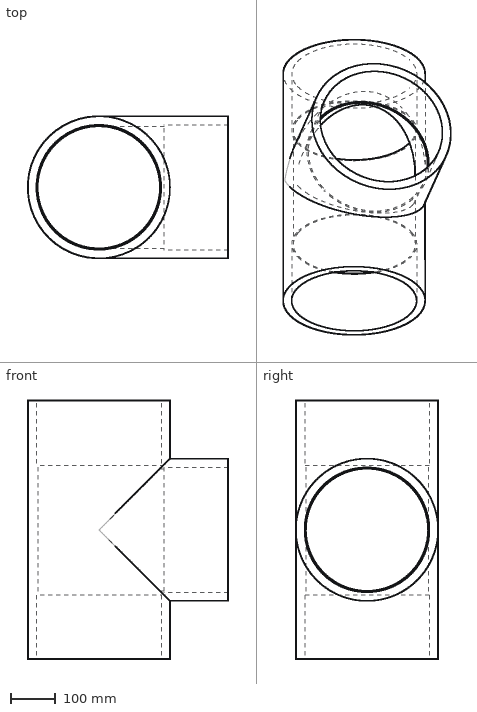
import cadquery as cq

outer_diameter = 319.0
socket_diameter = 280.0
bore_diameter = 274.0
run_length = 580.0
socket_depth = 145.0
branch_reach = run_length / 2


def end_cylinder(direction, diameter, start, end):
    """Cylinder along a direction from the tee centre, between two distances."""
    origin = cq.Vector(*direction) * start
    plane = cq.Plane(origin=origin.toTuple(), normal=direction)
    return cq.Workplane(plane).circle(diameter / 2).extrude(end - start)


UP = (0, 0, 1)
DOWN = (0, 0, -1)
BRANCH = (1, 0, 0)

body = end_cylinder(UP, outer_diameter, -run_length / 2, run_length / 2)
body = body.union(end_cylinder(BRANCH, outer_diameter, 0, branch_reach))

bores = end_cylinder(UP, bore_diameter, -run_length / 2, run_length / 2)
bores = bores.union(end_cylinder(BRANCH, bore_diameter, 0, branch_reach))
result = body.cut(bores)

for direction in (UP, DOWN, BRANCH):
    result = result.cut(
        end_cylinder(direction, socket_diameter, branch_reach - socket_depth, branch_reach)
    )